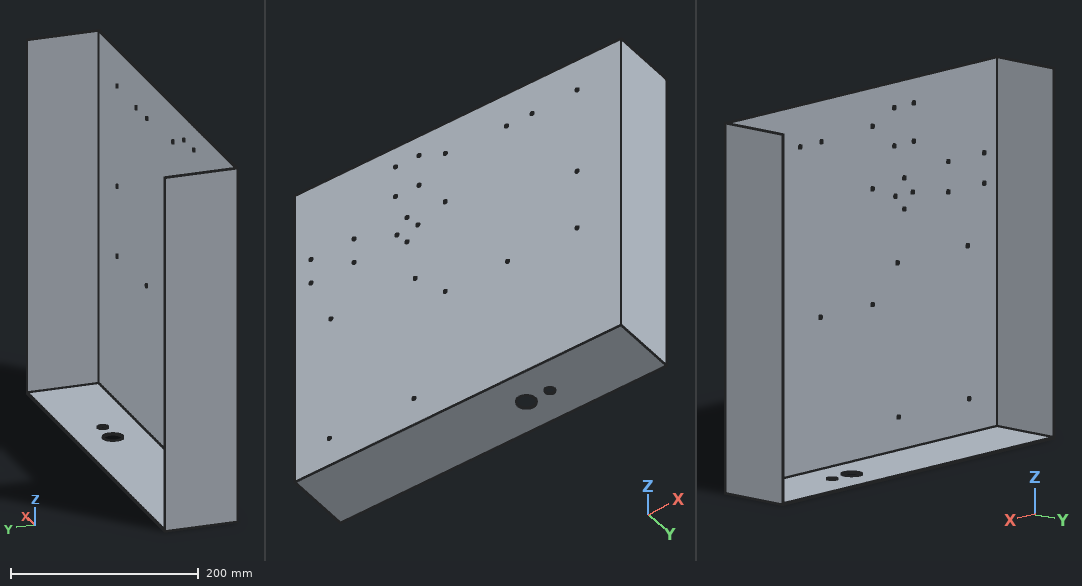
import cadquery as cq

width = 432.0
depth = 82.5
height = 404.5
sheet = 1.5

mount_diameter = 3.5

mount_grids = [
    ((-82.5, -51.5), (132.5, 174.5)),
    ((-194.5, -137.5), (68.0, 101.0)),
    ((-17.0, 157.5), (-35.0, 159.8)),
]

single_mounts = [
    (-17.0, 91.5),
    (157.5, 45.0),
    (65.5, -35.0),
    (64.5, 156.7),
    (98.0, 156.7),
    (-67.5, 95.0),
    (-67.5, 61.0),
    (-80.7, 77.5),
    (-53.0, 77.5),
    (-168.0, 4.0),
    (-56.5, 4.0),
    (-170.0, -163.5),
    (-58.5, -165.0),
]

cable_holes = [(60.5, 21.5), (91.5, 11.2)]


def make_tray():
    """Front panel with two side flanges and a floor; the back and top are open."""
    outer = cq.Workplane("XY").box(width, depth, height)
    cavity = (
        cq.Workplane("XY")
        .box(width - 2 * sheet, depth, height)
        .translate((0, sheet, sheet))
    )
    return outer.cut(cavity)


def mount_positions():
    """Return the (X, Z) centre of every mounting hole."""
    positions = list(single_mounts)
    for columns, rows in mount_grids:
        positions += [(x, z) for x in columns for z in rows]
    return positions


def mount_cutters():
    """Rods along Y that pass through the front panel."""
    return (
        cq.Workplane("XZ")
        .pushPoints(mount_positions())
        .circle(mount_diameter / 2)
        .extrude(depth / 2)
    )


def cable_cutter(x, diameter):
    """A rod along Z that passes through the floor."""
    return (
        cq.Workplane("XY")
        .center(x, 0)
        .circle(diameter / 2)
        .extrude(-height / 2)
    )


result = make_tray().cut(mount_cutters())
for cable_x, cable_diameter in cable_holes:
    result = result.cut(cable_cutter(cable_x, cable_diameter))